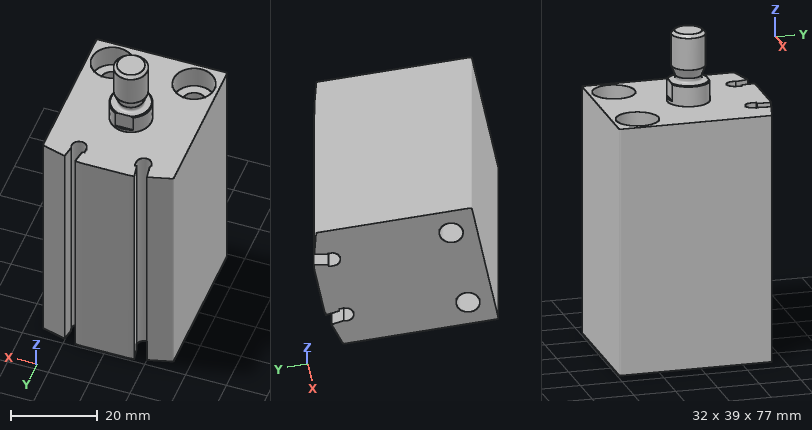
import cadquery as cq
import math

WIDTH = 32.0
DEPTH = 39.0
HEIGHT = 60.0
ROD_TO_FRONT = 21.0
CORNER_RADIUS = 0.5
FRONT_Y = -ROD_TO_FRONT
BACK_Y = FRONT_Y + DEPTH

CROWN_ANGLE = 15
CROWN_DROP = 2.5
CROWN_RADIUS = 10

HOLE_X = 10
HOLE_Y = FRONT_Y + 6.0
HOLE_DIAMETER = 5.5
COUNTERBORE_DIAMETER = 10
COUNTERBORE_DEPTH = 5.7

SLOT_X = 7.9
SLOT_Y = 13.25
SLOT_DIAMETER = 3.6
SLOT_NECK_WIDTH = 2.9
SLOT_NECK_LENGTH = 7.7
SLOT_LEAN_ANGLE = 10
SLOT_SHOULDER_HEIGHT = 1.2

TOTAL_HEIGHT = 77
COLLAR_DIAMETER = 10
COLLAR_HEIGHT = 5.0
COLLAR_CHAMFER = 0.2
FLAT_WIDTH = 9.0
FLAT_START = 0.8
NECK_DIAMETER = 6.2
NECK_FILLET = 0.6
NECK_LENGTH = 0.6
CONE_LENGTH = 2.3
TIP_DIAMETER = 8.0
TIP_CHAMFER = 0.8


def make_block():
    """Extruded outline with a crowned back and rounded corners."""
    half_width = WIDTH / 2
    crown_half = half_width - CROWN_DROP / math.tan(math.radians(CROWN_ANGLE))
    block = (
        cq.Workplane("XY")
        .moveTo(-half_width, FRONT_Y)
        .lineTo(half_width, FRONT_Y)
        .lineTo(half_width, BACK_Y - CROWN_DROP)
        .lineTo(crown_half, BACK_Y)
        .lineTo(-crown_half, BACK_Y)
        .lineTo(-half_width, BACK_Y - CROWN_DROP)
        .close()
        .extrude(HEIGHT)
    )
    block = block.edges("|Z and >Y").fillet(CROWN_RADIUS)
    block = block.edges("|Z and (<X or >X or <Y)").fillet(CORNER_RADIUS)
    return block


def make_sensor_slot(side):
    """Full-height cutter for one slot; side is +1 or -1 along X."""
    radius = SLOT_DIAMETER / 2
    bore = cq.Workplane("XY").circle(radius).extrude(HEIGHT)
    neck = (
        cq.Workplane("XY")
        .rect(SLOT_NECK_WIDTH, SLOT_NECK_LENGTH)
        .extrude(HEIGHT)
        .translate((0, SLOT_NECK_LENGTH / 2, 0))
        .rotate((0, 0, 0), (0, 0, 1), -side * SLOT_LEAN_ANGLE)
    )
    shoulder = (
        cq.Workplane("XY")
        .rect(radius, SLOT_SHOULDER_HEIGHT)
        .extrude(HEIGHT)
        .translate((-side * radius / 2, SLOT_SHOULDER_HEIGHT / 2, 0))
    )
    return bore.union(neck).union(shoulder).translate((side * SLOT_X, SLOT_Y, 0))


def make_housing():
    housing = (
        make_block()
        .faces(">Z")
        .workplane(origin=(0, 0, HEIGHT))
        .pushPoints([(-HOLE_X, HOLE_Y), (HOLE_X, HOLE_Y)])
        .cboreHole(HOLE_DIAMETER, COUNTERBORE_DIAMETER, COUNTERBORE_DEPTH)
    )
    for side in (-1, 1):
        housing = housing.cut(make_sensor_slot(side))
    return housing


def make_rod():
    """Turned rod standing on the housing, with two wrench flats on its collar."""
    collar_radius = COLLAR_DIAMETER / 2
    neck_radius = NECK_DIAMETER / 2
    tip_radius = TIP_DIAMETER / 2
    collar_top = HEIGHT + COLLAR_HEIGHT
    neck_start = collar_top + NECK_FILLET
    cone_start = neck_start + NECK_LENGTH
    cone_end = cone_start + CONE_LENGTH
    fillet_offset = NECK_FILLET * (1 - math.sqrt(0.5))
    rod = (
        cq.Workplane("XZ")
        .moveTo(0, HEIGHT)
        .lineTo(collar_radius, HEIGHT)
        .lineTo(collar_radius, collar_top - COLLAR_CHAMFER)
        .lineTo(collar_radius - COLLAR_CHAMFER, collar_top)
        .lineTo(neck_radius + NECK_FILLET, collar_top)
        .threePointArc(
            (neck_radius + fillet_offset, collar_top + fillet_offset),
            (neck_radius, neck_start),
        )
        .lineTo(neck_radius, cone_start)
        .lineTo(tip_radius, cone_end)
        .lineTo(tip_radius, TOTAL_HEIGHT - TIP_CHAMFER)
        .lineTo(tip_radius - TIP_CHAMFER, TOTAL_HEIGHT)
        .lineTo(0, TOTAL_HEIGHT)
        .close()
        .revolve(360, (0, 0, 0), (0, 1, 0))
    )
    flat_height = COLLAR_HEIGHT - FLAT_START
    for side in (-1, 1):
        flat_cutter = (
            cq.Workplane("XY")
            .box(COLLAR_DIAMETER, COLLAR_DIAMETER, flat_height)
            .translate((0, side * (FLAT_WIDTH + COLLAR_DIAMETER) / 2, collar_top - flat_height / 2))
        )
        rod = rod.cut(flat_cutter)
    return rod


housing = make_housing()
rod = make_rod()
result = cq.Compound.makeCompound([housing.solids().val(), rod.solids().val()])